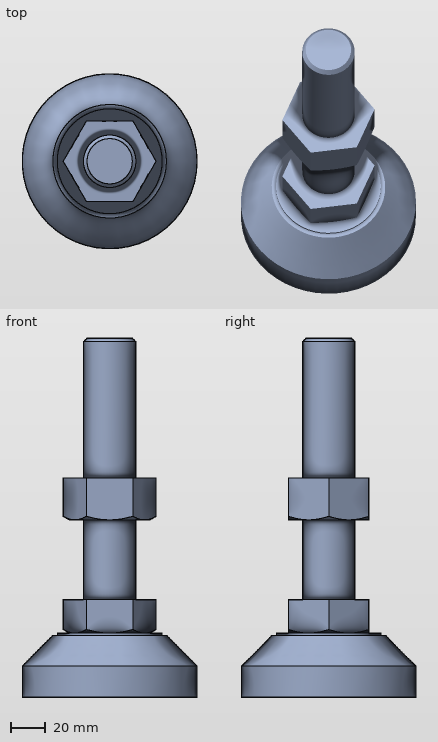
import cadquery as cq
import math

total_height = 205.5

foot_radius = 50.04
foot_top_radius = 32.5
foot_rim_height = 17.9
foot_height = 35.5

flange_radius = 30.0
flange_height = 1.2
shaft_radius = 15.0
shaft_chamfer = 2.0
hex_across_flats = 46.0
hex_chamfer_angle = 30.0
lower_hex_height = 19.1
upper_hex_bottom = 101.5
upper_hex_height = 24.0

flange_top = foot_height + flange_height
hex_across_corners = hex_across_flats / math.cos(math.radians(30))


def make_foot():
    """Round base with a conical upper part."""
    profile = [
        (0, 0),
        (foot_radius, 0),
        (foot_radius, foot_rim_height),
        (foot_top_radius, foot_height),
        (0, foot_height),
    ]
    return cq.Workplane("XZ").polyline(profile).close().revolve(360, (0, 0), (0, 1))


def make_hex(bottom, height):
    """Hexagonal prism whose bottom corners are trimmed by a cone."""
    prism = cq.Workplane("XY").workplane(offset=bottom).polygon(6, hex_across_corners).extrude(height)
    cone_bottom_radius = hex_across_flats / 2
    cone_top_radius = cone_bottom_radius + height / math.tan(math.radians(hex_chamfer_angle))
    cone = cq.Solid.makeCone(cone_bottom_radius, cone_top_radius, height, pnt=cq.Vector(0, 0, bottom))
    return prism.intersect(cq.Workplane(obj=cone))


def make_spindle():
    """Chamfered shaft in one piece with its flange and both hexagons."""
    shaft = (
        cq.Workplane("XY").workplane(offset=foot_height)
        .circle(shaft_radius).extrude(total_height - foot_height)
        .faces(">Z").chamfer(shaft_chamfer)
    )
    flange = cq.Workplane("XY").workplane(offset=foot_height).circle(flange_radius).extrude(flange_height)
    lower_hex = make_hex(flange_top, lower_hex_height)
    upper_hex = make_hex(upper_hex_bottom, upper_hex_height)
    return shaft.union(flange).union(lower_hex).union(upper_hex)


foot = make_foot()
spindle = make_spindle()

result = cq.Compound.makeCompound([foot.val(), *spindle.solids().vals()])